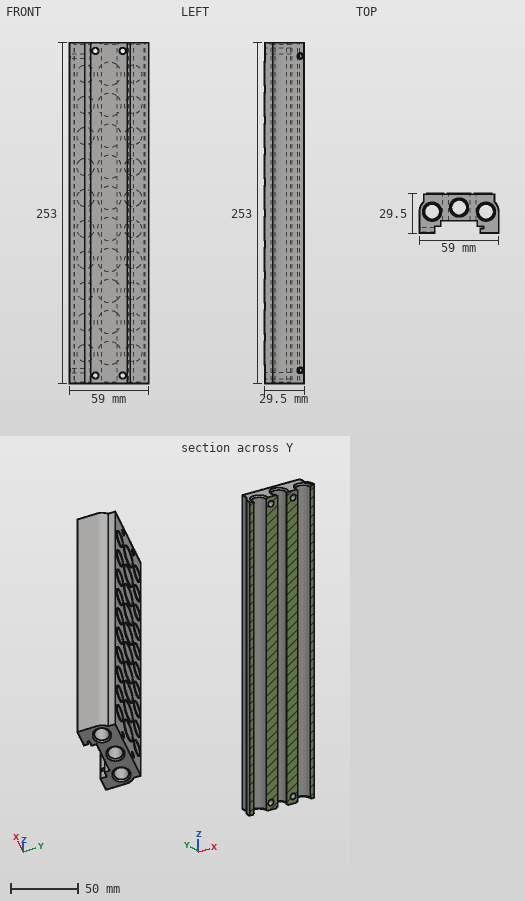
import cadquery as cq
import math

length = 253.0
width = 59.0
thickness = 29.5
pad_height = 0.6
half_length = length / 2
half_width = width / 2
body_thickness = thickness - pad_height

top_half_width = 26.3
shoulder_radius = 10.0
slot_half_width = 13.5
slot_depth = 9.0
ledge_half_width = 18.0
ledge_depth = 5.0
hook_half_width = 15.7
hook_thickness = 3.5

bore_diameter = 11.5
bore_mouth_diameter = 14.0
side_bore_x = 20.0
side_bore_y = 16.0
middle_bore_y = 19.0

mount_hole_diameter = 4.5
mount_hole_x = 10.0
mount_hole_inset = 6.0

clamp_hole_diameter = 3.3
clamp_mouth_diameter = 4.5
clamp_hole_y = 2.8
clamp_hole_inset = 9.9

station_count = 10
station_pitch = 23.0
middle_pad_diameter = 17.5
side_pad_diameter = 13.0
side_pad_x = 17.7
pad_overlap = 2.5


def make_body():
    """Extrude the profile; its shoulder arcs run tangent into the side walls."""
    shoulder_x = half_width - shoulder_radius
    shoulder_y = side_bore_y
    arc_angle = math.acos((top_half_width - shoulder_x) / shoulder_radius)
    arc_top_y = shoulder_y + shoulder_radius * math.sin(arc_angle)
    arc_mid_x = shoulder_x + shoulder_radius * math.cos(arc_angle / 2)
    arc_mid_y = shoulder_y + shoulder_radius * math.sin(arc_angle / 2)
    profile = (
        cq.Workplane("XY")
        .moveTo(-half_width, 0)
        .lineTo(-ledge_half_width, 0)
        .lineTo(-ledge_half_width, ledge_depth)
        .lineTo(-slot_half_width, ledge_depth)
        .lineTo(-slot_half_width, slot_depth)
        .lineTo(slot_half_width, slot_depth)
        .lineTo(slot_half_width, ledge_depth)
        .lineTo(ledge_half_width, ledge_depth)
        .lineTo(ledge_half_width, hook_thickness)
        .lineTo(hook_half_width, hook_thickness)
        .lineTo(hook_half_width, 0)
        .lineTo(half_width, 0)
        .lineTo(half_width, shoulder_y)
        .threePointArc((arc_mid_x, arc_mid_y), (top_half_width, arc_top_y))
        .lineTo(top_half_width, body_thickness)
        .lineTo(-top_half_width, body_thickness)
        .lineTo(-top_half_width, arc_top_y)
        .threePointArc((-arc_mid_x, arc_mid_y), (-half_width, shoulder_y))
        .close()
    )
    return profile.extrude(half_length, both=True)


def cylinder(diameter, height, start, direction):
    """Solid cylinder that runs from a start point."""
    solid = cq.Solid.makeCylinder(diameter / 2, height, cq.Vector(*start), cq.Vector(*direction))
    return cq.Workplane(solid)


def countersink(mouth_diameter, hole_diameter, start, direction):
    """45 degree cone that narrows from the mouth at the start point to the hole."""
    mouth_radius = mouth_diameter / 2
    hole_radius = hole_diameter / 2
    depth = mouth_radius - hole_radius
    cone = cq.Solid.makeCone(
        mouth_radius, hole_radius, depth, cq.Vector(*start), cq.Vector(*direction)
    )
    return cq.Workplane(cone)


def add_pads(part):
    """Raise a row of three round pads at every station."""
    row = (
        (-side_pad_x, side_pad_diameter),
        (0, middle_pad_diameter),
        (side_pad_x, side_pad_diameter),
    )
    for station in range(station_count):
        z = (station - (station_count - 1) / 2) * station_pitch
        for x, diameter in row:
            start = (x, body_thickness - pad_overlap, z)
            part = part.union(cylinder(diameter, pad_overlap + pad_height, start, (0, 1, 0)))
    return part


def cut_bores(part):
    """Drill the three long bores and countersink both of their ends."""
    centers = ((-side_bore_x, side_bore_y), (0, middle_bore_y), (side_bore_x, side_bore_y))
    for x, y in centers:
        part = part.cut(cylinder(bore_diameter, length, (x, y, -half_length), (0, 0, 1)))
        for end in (-1, 1):
            start = (x, y, end * half_length)
            part = part.cut(countersink(bore_mouth_diameter, bore_diameter, start, (0, 0, -end)))
    return part


def cut_mounting_holes(part):
    """Drill a pair of holes through the thickness near each end."""
    for end in (-1, 1):
        for side in (-1, 1):
            start = (side * mount_hole_x, 0, end * (half_length - mount_hole_inset))
            part = part.cut(cylinder(mount_hole_diameter, body_thickness, start, (0, 1, 0)))
    return part


def cut_clamp_holes(part):
    """Drill a countersunk hole through the plain lip near each end."""
    lip_width = half_width - ledge_half_width
    for end in (-1, 1):
        start = (-half_width, clamp_hole_y, end * (half_length - clamp_hole_inset))
        part = part.cut(cylinder(clamp_hole_diameter, lip_width, start, (1, 0, 0)))
        part = part.cut(countersink(clamp_mouth_diameter, clamp_hole_diameter, start, (1, 0, 0)))
    return part


result = make_body()
result = add_pads(result)
result = cut_bores(result)
result = cut_mounting_holes(result)
result = cut_clamp_holes(result)